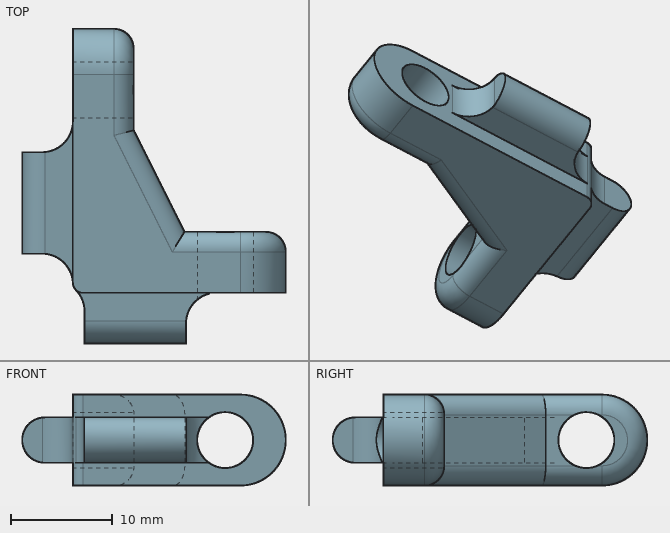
import cadquery as cq
import math

height = 9.0
x_arm_length = 21.0
y_arm_length = 26.0
arm_thickness = 6.0
gusset_x = 11.0
gusset_y = 16.0
corner_radius = 1.0
inner_edge_radius = 1.98

hole_diameter = 5.5
x_arm_hole = 15.0
y_arm_hole = 20.0

lug_length = 10.0
lug_projection = 5.0
lug_height = height / 2
lug_blend_radius = 3.0
x_arm_lug_start = 1.15
y_arm_lug_start = 3.85


def rounded_bar(plane, length):
    """Bar as high as the bracket, starting at the origin, with a full round at its far end."""
    radius = height / 2
    straight = length - radius
    return (
        cq.Workplane(plane)
        .moveTo(0, -radius)
        .lineTo(straight, -radius)
        .threePointArc((length, 0), (straight, radius))
        .lineTo(0, radius)
        .close()
        .extrude(y_arm_length, both=True)
    )


def make_bracket():
    """L-shaped body with a gusset, round arm ends and rounded inner edges."""
    body = (
        cq.Workplane("XY")
        .polyline([
            (0, 0),
            (x_arm_length, 0),
            (x_arm_length, arm_thickness),
            (gusset_x, arm_thickness),
            (arm_thickness, gusset_y),
            (arm_thickness, y_arm_length),
            (0, y_arm_length),
        ])
        .close()
        .extrude(height / 2, both=True)
    )
    body = body.intersect(rounded_bar("XZ", x_arm_length))
    body = body.intersect(rounded_bar("YZ", y_arm_length))
    inner_wall_centres = [
        ((gusset_x + x_arm_length) / 2, arm_thickness, 0),
        ((gusset_x + arm_thickness) / 2, (gusset_y + arm_thickness) / 2, 0),
        (arm_thickness, (gusset_y + y_arm_length) / 2, 0),
    ]
    edges = []
    for centre in inner_wall_centres:
        wall = body.faces(cq.NearestToPointSelector(centre))
        edges += wall.edges("not |Z").vals()
    body = body.newObject(edges).fillet(inner_edge_radius)
    corner = cq.NearestToPointSelector((0, 0, 0))
    return body.edges("|Z").edges(corner).fillet(corner_radius)


def make_lug(start):
    """Lug standing out toward -Y, blended into the outer corner and the flat face."""
    end = start + lug_length
    radius = lug_blend_radius

    centre_x = start - radius
    centre_distance = radius + corner_radius
    centre_y = corner_radius - math.sqrt(centre_distance**2 - (corner_radius - centre_x)**2)
    touch_angle = math.atan2(corner_radius - centre_y, corner_radius - centre_x)

    def corner_blend(angle):
        return (centre_x + radius * math.cos(angle), centre_y + radius * math.sin(angle))

    diagonal = radius * math.sqrt(0.5)
    far_blend_middle = (end + radius - diagonal, -radius + diagonal)

    plan = (
        cq.Workplane("XY")
        .moveTo(start, -lug_projection)
        .lineTo(start, centre_y)
        .threePointArc(corner_blend(touch_angle / 2), corner_blend(touch_angle))
        .lineTo(corner_radius, corner_radius)
        .lineTo(end + radius, corner_radius)
        .lineTo(end + radius, 0)
        .threePointArc(far_blend_middle, (end, -radius))
        .lineTo(end, -lug_projection)
        .close()
        .extrude(lug_height / 2, both=True)
    )
    tip_radius = lug_height / 2
    tip_start = tip_radius - lug_projection
    rounded_tip = (
        cq.Workplane("YZ")
        .moveTo(corner_radius, -tip_radius)
        .lineTo(tip_start, -tip_radius)
        .threePointArc((-lug_projection, 0), (tip_start, tip_radius))
        .lineTo(corner_radius, tip_radius)
        .close()
        .extrude(y_arm_length, both=True)
    )
    return plan.intersect(rounded_tip)


def make_hole(plane, distance):
    """Cutter through one arm and through any lug blend in front of it."""
    return (
        cq.Workplane(plane)
        .center(distance, 0)
        .circle(hole_diameter / 2)
        .extrude(2 * arm_thickness, both=True)
    )


x_arm_lug = make_lug(x_arm_lug_start)
y_arm_lug = make_lug(y_arm_lug_start).mirror("XZ").rotate((0, 0, 0), (0, 0, 1), 90)

result = make_bracket().union(x_arm_lug).union(y_arm_lug)
result = result.cut(make_hole("XZ", x_arm_hole))
result = result.cut(make_hole("YZ", y_arm_hole))